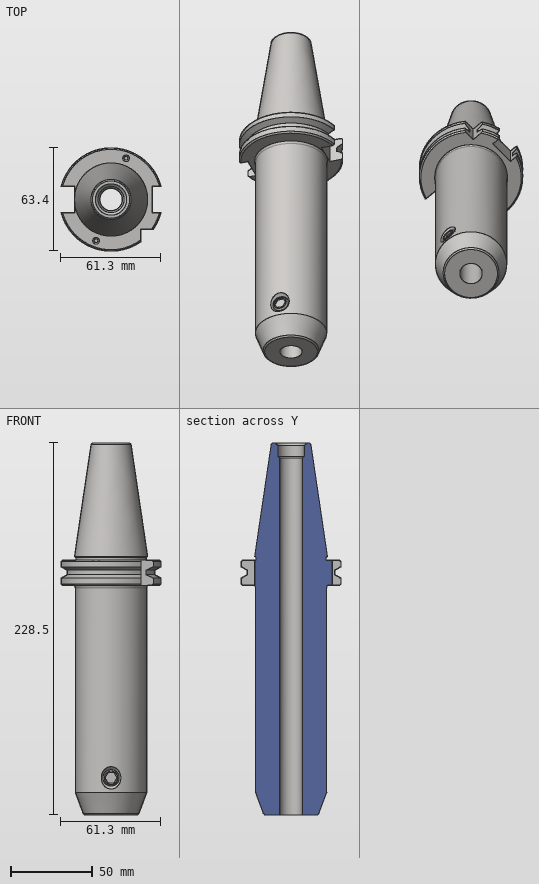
import cadquery as cq
import math

TOTAL_LENGTH = 228.5
FLANGE_TOP = 156.5
FLANGE_BOTTOM = 141.0
TAPER_BASE = 158.7
NOSE_HEIGHT = 13.7

TAPER_RATIO = 7 / 24
TAPER_BASE_DIAMETER = 45.0
TAPER_BASE_RADIUS = TAPER_BASE_DIAMETER / 2
TAPER_TOP_RADIUS = TAPER_BASE_RADIUS - (TOTAL_LENGTH - TAPER_BASE) * TAPER_RATIO / 2
TAPER_TOP_CHAMFER = 1.0
NECK_RADIUS = 21.7
NECK_TOP = 158.0

FLANGE_RADIUS = 31.7
FLANGE_CHAMFER = 1.0
GROOVE_FLOOR_RADIUS = 28.0
GROOVE_CENTRE = 149.0
GROOVE_FLOOR_WIDTH = 2.7
GROOVE_FLANK_ANGLE = 30.0
GROOVE_DEPTH = FLANGE_RADIUS - GROOVE_FLOOR_RADIUS
GROOVE_MOUTH_WIDTH = GROOVE_FLOOR_WIDTH + 2 * GROOVE_DEPTH * math.tan(math.radians(GROOVE_FLANK_ANGLE))

BODY_RADIUS = 22.0
COLLAR_RADIUS = 22.4
COLLAR_HEIGHT = 1.5
NOSE_RADIUS = 17.1
NOSE_CHAMFER = 1.0

BORE_RADIUS = 6.9
MOUTH_RADIUS = 8.0
MOUTH_DEPTH = 8.2
MOUTH_CHAMFER = 1.5

SLOT_WIDTH = 16.0
LEFT_SLOT_FACE = 22.4
RIGHT_SLOT_FACE = 25.4
NOTCH_CORNER = 18.3

COOLANT_HOLE_RADIUS = 2.0
COOLANT_SEAT_RADIUS = 1.1
COOLANT_SEAT_DEPTH = 1.0
COOLANT_HOLE_DEPTH = 2.7
COOLANT_CIRCLE_RADIUS = 27.0
COOLANT_HOLE_ANGLE = 70.0

SCREW_HEIGHT = 22.8
SCREW_RADIUS = 5.0
SCREW_COUNTERSINK_RADIUS = 6.9
SCREW_BEVEL_HEIGHT = 1.1
SCREW_FACE_RADIUS = 4.0
SOCKET_ACROSS_FLATS = 6.5
SOCKET_DEPTH = 1.4
HEXAGON_SIDES = 6
HEXAGON_TURN = 180 / HEXAGON_SIDES


def revolve_profile(profile):
    """Turn a closed outline of (radius, height) points about the Z axis."""
    return cq.Workplane("XZ").polyline(profile).close().revolve(360, (0, 0), (0, 1))


def turned_body():
    """Nose, body, grooved flange and shank taper as one turned solid."""
    groove_floor_half = GROOVE_FLOOR_WIDTH / 2
    groove_mouth_half = GROOVE_MOUTH_WIDTH / 2
    rim_radius = FLANGE_RADIUS - FLANGE_CHAMFER
    profile = [
        (0, 0),
        (NOSE_RADIUS - NOSE_CHAMFER, 0),
        (NOSE_RADIUS, NOSE_CHAMFER),
        (BODY_RADIUS, NOSE_HEIGHT),
        (BODY_RADIUS, FLANGE_BOTTOM - COLLAR_HEIGHT),
        (COLLAR_RADIUS, FLANGE_BOTTOM),
        (rim_radius, FLANGE_BOTTOM),
        (FLANGE_RADIUS, FLANGE_BOTTOM + FLANGE_CHAMFER),
        (FLANGE_RADIUS, GROOVE_CENTRE - groove_mouth_half),
        (GROOVE_FLOOR_RADIUS, GROOVE_CENTRE - groove_floor_half),
        (GROOVE_FLOOR_RADIUS, GROOVE_CENTRE + groove_floor_half),
        (FLANGE_RADIUS, GROOVE_CENTRE + groove_mouth_half),
        (FLANGE_RADIUS, FLANGE_TOP - FLANGE_CHAMFER),
        (rim_radius, FLANGE_TOP),
        (NECK_RADIUS, FLANGE_TOP),
        (NECK_RADIUS, NECK_TOP),
        (TAPER_BASE_RADIUS, TAPER_BASE),
        (TAPER_TOP_RADIUS, TOTAL_LENGTH - TAPER_TOP_CHAMFER),
        (TAPER_TOP_RADIUS - TAPER_TOP_CHAMFER, TOTAL_LENGTH),
        (0, TOTAL_LENGTH),
    ]
    return revolve_profile(profile)


def bore():
    """Through bore with a chamfered, cone-bottomed mouth at the top."""
    mouth_floor = TOTAL_LENGTH - MOUTH_DEPTH
    profile = [
        (0, 0),
        (BORE_RADIUS, 0),
        (BORE_RADIUS, mouth_floor - (MOUTH_RADIUS - BORE_RADIUS)),
        (MOUTH_RADIUS, mouth_floor),
        (MOUTH_RADIUS, TOTAL_LENGTH - MOUTH_CHAMFER),
        (MOUTH_RADIUS + MOUTH_CHAMFER, TOTAL_LENGTH),
        (0, TOTAL_LENGTH),
    ]
    return revolve_profile(profile)


def flange_block(x_min, x_max, y_min, y_max):
    """Box over the full flange thickness, used to cut slots and the notch."""
    thickness = FLANGE_TOP - FLANGE_BOTTOM
    return (
        cq.Workplane("XY")
        .box(x_max - x_min, y_max - y_min, thickness, centered=False)
        .translate((x_min, y_min, FLANGE_BOTTOM))
    )


def coolant_hole(angle):
    """Blind hole in the top face of the flange, tapering in to a smaller seat."""
    x = COOLANT_CIRCLE_RADIUS * math.cos(math.radians(angle))
    y = COOLANT_CIRCLE_RADIUS * math.sin(math.radians(angle))
    profile = [
        (0, 0),
        (COOLANT_HOLE_RADIUS, 0),
        (COOLANT_SEAT_RADIUS, -COOLANT_SEAT_DEPTH),
        (COOLANT_SEAT_RADIUS, -COOLANT_HOLE_DEPTH),
        (0, -COOLANT_HOLE_DEPTH),
    ]
    hole = revolve_profile(profile)
    return hole.translate((x, y, FLANGE_TOP))


def screw_recess():
    """Countersink on the -Y side around a bevelled screw end with a hexagon socket."""
    screw_base = BODY_RADIUS - (SCREW_COUNTERSINK_RADIUS - SCREW_RADIUS)
    screw_face = screw_base + SCREW_BEVEL_HEIGHT
    profile = [
        (0, screw_face),
        (SCREW_FACE_RADIUS, screw_face),
        (SCREW_RADIUS, screw_base),
        (SCREW_COUNTERSINK_RADIUS, BODY_RADIUS),
        (0, BODY_RADIUS),
    ]
    countersink = revolve_profile(profile)
    socket = (
        cq.Workplane("XY", origin=(0, 0, screw_face - SOCKET_DEPTH))
        .polygon(HEXAGON_SIDES, SOCKET_ACROSS_FLATS, circumscribed=True)
        .extrude(SOCKET_DEPTH)
        .rotate((0, 0, 0), (0, 0, 1), HEXAGON_TURN)
    )
    recess = countersink.union(socket)
    return recess.rotate((0, 0, 0), (1, 0, 0), 90).translate((0, 0, SCREW_HEIGHT))


result = turned_body().cut(bore())

result = result.cut(flange_block(-FLANGE_RADIUS, -LEFT_SLOT_FACE, -SLOT_WIDTH / 2, SLOT_WIDTH / 2))
result = result.cut(flange_block(RIGHT_SLOT_FACE, FLANGE_RADIUS, -SLOT_WIDTH / 2, SLOT_WIDTH / 2))
result = result.cut(flange_block(NOTCH_CORNER, FLANGE_RADIUS, -FLANGE_RADIUS, -NOTCH_CORNER))

for half_turn in (0, 180):
    result = result.cut(coolant_hole(COOLANT_HOLE_ANGLE + half_turn))
    result = result.cut(screw_recess().rotate((0, 0, 0), (0, 0, 1), half_turn))